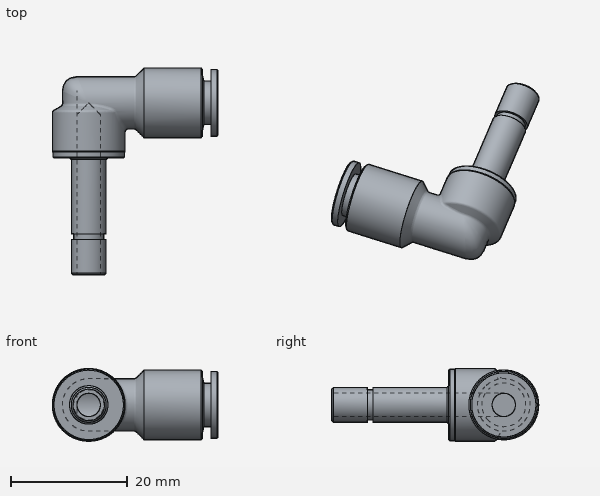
import cadquery as cq
import math


TOLERANCE = 0.01

ELBOW_RADIUS = 4.5
CORNER_SETBACK = 2.0
CORNER_BISECTOR = 45.0
BLEND_RADIUS = 0.5
BORE_RADIUS = 2.0

SLEEVE_RADIUS = 6.0
SLEEVE_START = 8.0
SLEEVE_END = 19.5
SLEEVE_CHAMFER = 0.25
SLEEVE_LIP_RADIUS = 4.75
SLEEVE_LIP = 0.25
NECK_RADIUS = 3.75
COLLAR_RADIUS = 5.75
COLLAR_START = 20.95
COLLAR_END = 22.2
COLLAR_CHAMFER = 0.25

BODY_RADIUS = 6.25
SHOULDER_TOP = 0.42
SHOULDER_ANGLE = 30.0
BODY_END = 8.25
RING_RADIUS = 6.15
RING_START = 8.45
RING_END = 9.45
RING_CHAMFER = 0.2

STEM_RADIUS = 3.0
STEM_FLARE = 0.3
STEM_END = 29.5
STEM_CHAMFER = 0.3
GROOVE_RADIUS = 2.6
GROOVE_START = 22.45
GROOVE_END = 23.4


def turned_on_x(outline):
    """Revolve (x, radius) points around the X axis."""
    return cq.Workplane("XY").polyline(outline).close().revolve(360, (0, 0, 0), (1, 0, 0))


def turned_on_y(outline):
    """Revolve (radius, depth) points around the Y axis, with depth running along -Y."""
    points = [(radius, -depth) for radius, depth in outline]
    return cq.Workplane("XY").polyline(points).close().revolve(360, (0, 0, 0), (0, 1, 0))


def prism(outline):
    """Prism through the whole elbow thickness, used to trim it in plan."""
    return cq.Workplane("XY").polyline(outline).close().extrude(2 * ELBOW_RADIUS, both=True)


ARM_CORNER = (-CORNER_SETBACK, ELBOW_RADIUS)
LEG_CORNER = (-ELBOW_RADIUS, CORNER_SETBACK)


def make_arm():
    """Elbow cylinder along X, mitred against the leg on the inner side."""
    arm_length = SLEEVE_START + CORNER_SETBACK
    arm = cq.Workplane("YZ", origin=(-CORNER_SETBACK, 0, 0)).circle(ELBOW_RADIUS).extrude(arm_length)
    arm_plan = [
        (0, 0),
        ARM_CORNER,
        (SLEEVE_START, ELBOW_RADIUS),
        (SLEEVE_START, -ELBOW_RADIUS),
        (ELBOW_RADIUS, -ELBOW_RADIUS),
    ]
    return arm.intersect(prism(arm_plan))


def make_leg():
    """Elbow cylinder along Y, mitred against the arm on the inner side."""
    leg_length = BODY_END + CORNER_SETBACK
    leg = cq.Workplane("XZ", origin=(0, CORNER_SETBACK, 0)).circle(ELBOW_RADIUS).extrude(leg_length)
    leg_plan = [
        (0, 0),
        LEG_CORNER,
        (-ELBOW_RADIUS, -BODY_END),
        (ELBOW_RADIUS, -BODY_END),
        (ELBOW_RADIUS, -ELBOW_RADIUS),
    ]
    return leg.intersect(prism(leg_plan))


def make_corner():
    """Outer corner: a wedge of an ellipsoid that is tangent to the arm and to the leg."""
    long_axis = math.sqrt(ELBOW_RADIUS * (ELBOW_RADIUS + CORNER_SETBACK))
    short_axis = math.sqrt(ELBOW_RADIUS * (ELBOW_RADIUS - CORNER_SETBACK))
    stretch = cq.Matrix([
        [short_axis, 0, 0, 0],
        [0, long_axis, 0, 0],
        [0, 0, ELBOW_RADIUS, 0],
    ])
    ellipsoid = cq.Workplane("XY").sphere(1).val().transformGeometry(stretch)
    ellipsoid = ellipsoid.rotate(cq.Vector(0, 0, 0), cq.Vector(0, 0, 1), CORNER_BISECTOR)
    corner_plan = [(0, 0), ARM_CORNER, (-2 * ELBOW_RADIUS, 2 * ELBOW_RADIUS), LEG_CORNER]
    return cq.Workplane(ellipsoid).intersect(prism(corner_plan))


def make_body():
    """Swivel body with its conical shoulder, whose rim is rounded, and the end ring."""
    drop = (BODY_RADIUS - ELBOW_RADIUS) * math.tan(math.radians(SHOULDER_ANGLE))
    edge_depth = SHOULDER_TOP + drop
    body = turned_on_y([
        (0, SHOULDER_TOP),
        (ELBOW_RADIUS, SHOULDER_TOP),
        (BODY_RADIUS, edge_depth),
        (BODY_RADIUS, BODY_END),
        (RING_RADIUS, RING_START),
        (RING_RADIUS, RING_END - RING_CHAMFER),
        (RING_RADIUS - RING_CHAMFER, RING_END),
        (0, RING_END),
    ])
    edge_box = cq.selectors.BoxSelector(
        (-BODY_RADIUS, -edge_depth - TOLERANCE, -BODY_RADIUS),
        (BODY_RADIUS, -edge_depth + TOLERANCE, BODY_RADIUS),
    )
    return body.edges(edge_box).fillet(BLEND_RADIUS)


def make_sleeve():
    """Tapered sleeve, neck and release collar in one turned profile."""
    taper_end = SLEEVE_START + SLEEVE_RADIUS - ELBOW_RADIUS
    return turned_on_x([
        (SLEEVE_START, 0),
        (SLEEVE_START, ELBOW_RADIUS),
        (taper_end, SLEEVE_RADIUS),
        (SLEEVE_END - SLEEVE_CHAMFER, SLEEVE_RADIUS),
        (SLEEVE_END, SLEEVE_RADIUS - SLEEVE_CHAMFER),
        (SLEEVE_END, SLEEVE_LIP_RADIUS),
        (SLEEVE_END + SLEEVE_LIP, NECK_RADIUS),
        (COLLAR_START, NECK_RADIUS),
        (COLLAR_START, COLLAR_RADIUS),
        (COLLAR_END - COLLAR_CHAMFER, COLLAR_RADIUS),
        (COLLAR_END, COLLAR_RADIUS - COLLAR_CHAMFER),
        (COLLAR_END, 0),
    ])


def make_stem():
    """Plug stem with a flared root, a retaining groove and a chamfered tip."""
    return turned_on_y([
        (0, RING_END),
        (STEM_RADIUS + STEM_FLARE, RING_END),
        (STEM_RADIUS, RING_END + STEM_FLARE),
        (STEM_RADIUS, GROOVE_START),
        (GROOVE_RADIUS, GROOVE_START),
        (GROOVE_RADIUS, GROOVE_END),
        (STEM_RADIUS, GROOVE_END),
        (STEM_RADIUS, STEM_END - STEM_CHAMFER),
        (STEM_RADIUS - STEM_CHAMFER, STEM_END),
        (0, STEM_END),
    ])


def is_blended(edge):
    """True for the edges where the elbow runs into the swivel body and into the sleeve taper."""
    box = edge.BoundingBox()
    on_shoulder = edge.geomType() == "CIRCLE" and abs(edge.Center().y + SHOULDER_TOP) < TOLERANCE
    on_shoulder = on_shoulder and box.ylen < TOLERANCE
    on_arm = edge.geomType() == "BSPLINE" and box.xmin > 0
    on_taper = box.xlen < TOLERANCE and abs(box.xmin - SLEEVE_START) < TOLERANCE
    return on_shoulder or on_arm or on_taper


def make_bores():
    """Round passages through the stem and the arm, meeting inside the elbow."""
    stem_bore = cq.Workplane("XZ").circle(BORE_RADIUS).extrude(STEM_END)
    arm_bore = cq.Workplane("YZ", origin=(-BORE_RADIUS, 0, 0)).circle(BORE_RADIUS)
    return stem_bore.union(arm_bore.extrude(BORE_RADIUS + COLLAR_END))


shell = make_arm().union(make_leg()).union(make_corner()).union(make_body()).union(make_sleeve())
blended_edges = [edge for edge in shell.edges().vals() if is_blended(edge)]
shell = shell.newObject(blended_edges).fillet(BLEND_RADIUS)
result = shell.union(make_stem()).cut(make_bores())